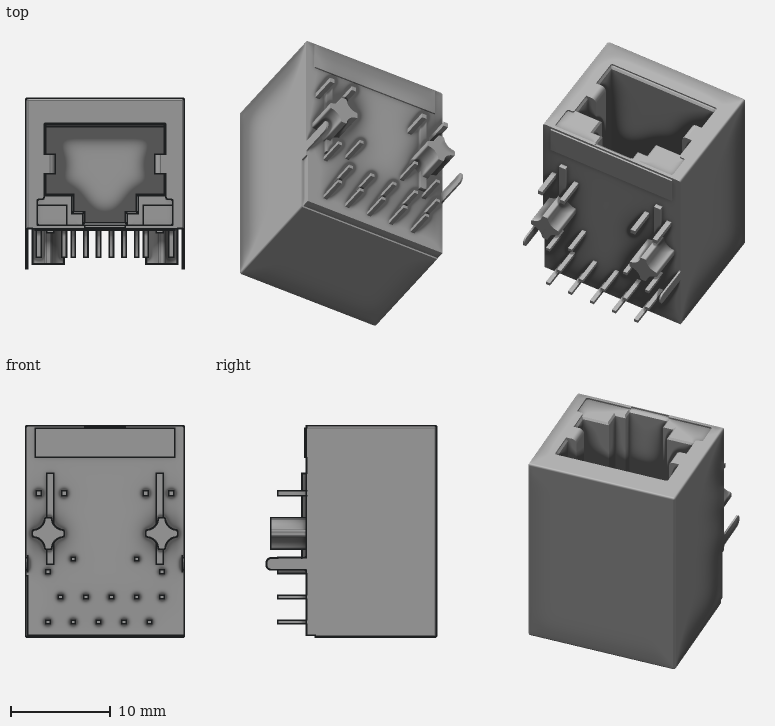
import cadquery as cq

width = 15.94
depth = 13.1
height = 21.25
sheet = 0.2
bend_radius = 0.21
board_step = 0.9
side_step_top = 6.16

cavity_floor = 8.5
lead_in_depth = 0.2
cavity_half = [(2.05, 0.6), (2.05, 1.7), (3.15, 1.7), (3.15, 3.45), (5.93, 3.45), (5.93, 10.22)]
mouth_half = [(2.2, 0.35), (2.2, 1.49), (3.34, 1.49), (3.34, 3.27), (6.12, 3.27), (6.12, 10.41)]
mouth_side = mouth_half[-1][0]

opening_front = 0.35
opening_shoulder = 2.93
opening_back = 10.56
opening_radius = 0.21
web_thickness = 0.06
latch_half_width = cavity_half[0][0]

spring_front = 5.48
spring_back = 7.45
spring_inner_x = 5.0
spring_radius = 0.53
spring_root = 0.21

light_center_x = 5.33
light_width = 2.95
light_back = 2.34
lead_size = 0.5
lead_z = 14.45
light_outer_x = light_center_x + light_width / 2

pitch = 1.28
lead_spacing = 2 * pitch
lead_pair_center = 5.38
pin_width = 0.45
pin_thickness = 0.36
pin_length = 2.9
pin_root = 0.21
pin_rows = [
    (7.86, [-2.5, 2.5]),
    (6.57, [-4.5, 4.5]),
    (4.04, [-3.5, -1.5, 0.5, 2.5, 4.5]),
    (1.53, [-4.5, -2.5, -0.5, 1.5, 3.5]),
]

flap_width = 14.02
flap_thickness = 0.17
flap_bottom = 18.06
flap_top = 21.0

rail_x = 5.5
rail_width = 0.72
rail_bottom = 7.3
rail_top = 16.45
rail_height = 0.45
post_x = 5.7
post_z = 10.41
post_reach = 1.6
post_flute_radius = 1.25
post_tip_radius = 0.17
post_length = 3.57

tab_bottom = 6.75
tab_top = 7.97
tab_length = 4.02
tab_tip_radius = 0.5
tab_root_radius = 0.2

floor_z = height - sheet
SIDES = (-1, 1)


def block(x, y, z):
    """Box from three (low, high) ranges; either order of a range will do."""
    x, y, z = sorted(x), sorted(y), sorted(z)
    box = cq.Workplane("XY").box(x[1] - x[0], y[1] - y[0], z[1] - z[0], centered=False)
    return box.translate((x[0], y[0], z[0]))


def centered(middle, size):
    """Range of the given size around a middle value."""
    return (middle - size / 2, middle + size / 2)


def mirrored_outline(half):
    """Closed outline from its right half."""
    return half + [(-x, y) for x, y in reversed(half)]


def shell():
    """Outer block with the shield bends, stepped back at the rear next to the board face."""
    body = block(centered(0, width), (0, depth), (0, height))
    body = body.edges("|Z and >Y").fillet(bend_radius)
    body = body.faces("<Z or >Z").edges("not <Y").fillet(bend_radius)
    rear_step = block(centered(0, width), (0, board_step), (0, sheet))
    side_step = block((-width / 2, -width / 2 + sheet), (0, board_step), (0, side_step_top))
    return body.cut(rear_step).cut(side_step)


def shield_opening():
    """Recess through the shield, around the cavity mouth and wider over the lights."""
    half = [
        (light_outer_x, opening_front),
        (light_outer_x, opening_shoulder),
        (mouth_side, opening_shoulder),
        (mouth_side, opening_back),
    ]
    recess = cq.Workplane("XY", origin=(0, 0, floor_z)).polyline(mirrored_outline(half)).close()
    recess = recess.extrude(sheet).edges("|Z").fillet(opening_radius)
    latch_slot = block(
        centered(0, 2 * latch_half_width),
        (web_thickness, opening_shoulder),
        (floor_z, height),
    )
    return recess.union(latch_slot)


def plug_cavity():
    """Stepped cavity with a sloped lead-in around its mouth."""
    lead_in_bottom = floor_z - lead_in_depth
    cavity = (
        cq.Workplane("XY", origin=(0, 0, cavity_floor))
        .polyline(mirrored_outline(cavity_half)).close()
        .extrude(lead_in_bottom - cavity_floor)
    )
    lead_in = (
        cq.Workplane("XY", origin=(0, 0, lead_in_bottom))
        .polyline(mirrored_outline(cavity_half)).close()
        .workplane(offset=lead_in_depth)
        .polyline(mirrored_outline(mouth_half)).close()
        .loft(ruled=True)
    )
    return cavity.union(lead_in)


def spring(side):
    """Bar along a side wall of the cavity, rounded over at the mouth."""
    bar = block(
        (side * spring_inner_x, side * (mouth_side + spring_root)),
        (spring_front, spring_back),
        (cavity_floor, height),
    )
    inner_edge = "<X" if side > 0 else ">X"
    return bar.faces(inner_edge).edges(">Z").fillet(spring_radius)


def light(side):
    """Indicator light below the shield, with two leads that pass out of the board face."""
    bar = block(
        centered(side * light_center_x, light_width),
        (opening_front, light_back),
        (lead_z - lead_size / 2, floor_z),
    )
    for offset in (-lead_spacing / 2, lead_spacing / 2):
        lead = block(
            centered(side * lead_pair_center + offset, lead_size),
            (-pin_length, opening_front),
            centered(lead_z, lead_size),
        )
        bar = bar.union(lead)
    return bar


def contact_pins():
    """List of the straight pins that stand out of the board face."""
    return [
        block(centered(place * pitch, pin_width), (-pin_length, pin_root), centered(z, pin_thickness))
        for z, places in pin_rows
        for place in places
    ]


def flap():
    """Raised shield panel below the mouth, on the board face."""
    return block(centered(0, flap_width), (-flap_thickness, 0), (flap_bottom, flap_top))


def rail(side):
    """Long standoff rail on the board face."""
    return block(centered(side * rail_x, rail_width), (-rail_height, 0), (rail_bottom, rail_top))


def post(side):
    """Locating post whose four arms are left between round flutes."""
    plane = cq.Workplane("XZ", origin=(side * post_x, 0, post_z))
    star = plane.rect(2 * post_reach, 2 * post_reach).extrude(post_length)
    flutes = (
        plane.rect(2 * post_reach, 2 * post_reach, forConstruction=True)
        .vertices().circle(post_flute_radius).extrude(post_length)
    )
    return star.cut(flutes).edges("|Y").fillet(post_tip_radius)


def tab(side):
    """Grounding tab in line with the side wall, with a rounded tip and flared root."""
    root = tab_root_radius
    tip = tab_tip_radius
    outline = (
        cq.Workplane("YZ", origin=(side * width / 2, 0, 0))
        .moveTo(0, tab_bottom - root)
        .radiusArc((-root, tab_bottom), -root)
        .lineTo(-tab_length + tip, tab_bottom)
        .radiusArc((-tab_length, tab_bottom + tip), tip)
        .lineTo(-tab_length, tab_top - tip)
        .radiusArc((-tab_length + tip, tab_top), tip)
        .lineTo(-root, tab_top)
        .radiusArc((0, tab_top + root), -root)
        .close()
    )
    return outline.extrude(-side * sheet)


def jack(lights):
    """Housing, shield, posts, tabs and contact pins as one solid, with pockets for the lights."""
    body = shell().cut(shield_opening()).cut(plug_cavity()).union(flap())
    for side in SIDES:
        body = body.union(spring(side)).union(rail(side)).union(post(side)).union(tab(side))
    for pin in contact_pins():
        body = body.union(pin)
    for each_light in lights:
        body = body.cut(each_light)
    return body


lights = [light(side) for side in SIDES]
housing = jack(lights)

result = cq.Compound.makeCompound([housing.val(), *[each_light.val() for each_light in lights]])